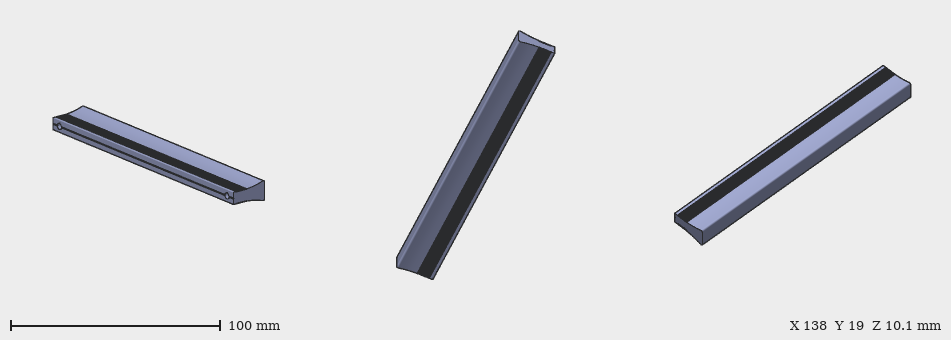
import cadquery as cq
import math

length = 138.0
depth = 19.0
back_height = 10.1
neck_height = 6.2

back_fillet = 0.8
fillet_trim = 0.35
front_fillet = 0.21
neck_depth = 8.3
flank_sag = 0.4

groove_count = 21
groove_pitch = 0.3
groove_depth = 0.21

centre_groove_width = 0.5
centre_groove_depth = 0.3
hole_spacing = 128.0
hole_diameter = 3.0
hole_depth = 8.3
drill_point_angle = 118.0

front_y = -depth / 2
back_y = depth / 2
neck_end_y = front_y + neck_depth
neck_z = neck_height / 2
back_z = back_height / 2
corner_z = back_z + fillet_trim


def x_prism(profile):
    """Extrude a closed YZ profile over the full length, centred on X = 0."""
    return profile.extrude(length / 2, both=True)


def v_groove(y, z, normal_y, normal_z, width, groove_bottom):
    """Diamond-section cutter centred on (y, z) of a face; its inner half is the V groove.

    normal_y and normal_z give the outward unit normal of the face.
    """
    half = width / 2
    profile = (
        cq.Workplane("YZ")
        .moveTo(y - half * normal_z, z + half * normal_y)
        .lineTo(y - groove_bottom * normal_y, z - groove_bottom * normal_z)
        .lineTo(y + half * normal_z, z - half * normal_y)
        .lineTo(y + groove_bottom * normal_y, z + groove_bottom * normal_z)
        .close()
    )
    return x_prism(profile)


def make_body():
    """Straight neck at the front, flaring along concave arcs to the flat back."""
    mid_y = (neck_end_y + back_y) / 2
    mid_z = (neck_z + corner_z) / 2 - flank_sag
    profile = (
        cq.Workplane("YZ")
        .moveTo(front_y, -neck_z)
        .lineTo(neck_end_y, -neck_z)
        .threePointArc((mid_y, -mid_z), (back_y, -corner_z))
        .lineTo(back_y, corner_z)
        .threePointArc((mid_y, mid_z), (neck_end_y, neck_z))
        .lineTo(front_y, neck_z)
        .close()
    )
    body = x_prism(profile)
    body = body.edges("|X and >Y").fillet(back_fillet)
    return body.edges("|X and <Y").fillet(front_fillet)


def cut_grip_grooves(body):
    """Groove both neck faces, from the end of the neck towards the front."""
    for index in range(groove_count):
        y = neck_end_y - (index + 0.5) * groove_pitch
        for side in (1, -1):
            body = body.cut(v_groove(y, side * neck_z, 0, side, groove_pitch, groove_depth))
    return body


def cut_centre_groove(body):
    return body.cut(v_groove(front_y, 0, -1, 0, centre_groove_width, centre_groove_depth))


def screw_hole(x):
    """Blind hole along +Y from the front face, ending in a drill point."""
    radius = hole_diameter / 2
    point_depth = radius / math.tan(math.radians(drill_point_angle / 2))
    profile = (
        cq.Workplane("XY")
        .moveTo(x, front_y)
        .lineTo(x + radius, front_y)
        .lineTo(x + radius, front_y + hole_depth)
        .lineTo(x, front_y + hole_depth + point_depth)
        .close()
    )
    return profile.revolve(360, (x, front_y, 0), (x, back_y, 0))


result = cut_centre_groove(cut_grip_grooves(make_body()))
for hole_x in (-hole_spacing / 2, hole_spacing / 2):
    result = result.cut(screw_hole(hole_x))